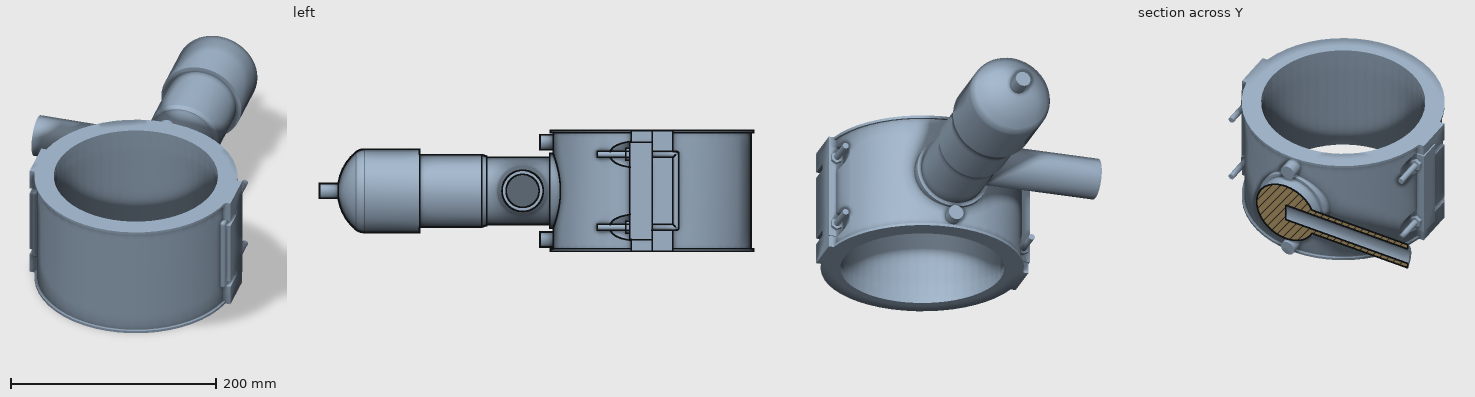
import cadquery as cq
import math


total_length = 423.0
height = 118.0
bore_radius = 80.0
shell_radius = 96.5
lip_radius = 99.0
lip_thickness = 2.5

lug_half_width = 102.0
lug_reach = 20.5
lug_inner_x = 84.5
strip_height = 95.0
strip_thickness = 1.3
side_plate_thickness = 1.3

rod_diameter = 6.0
rod_radius = rod_diameter / 2
rod_x = 95.0
rod_z = 35.5
rod_end_y = 53.3
crossbar_y = -lug_reach - rod_radius
nut_width = 10.0
nut_height = 4.0
spotface_diameter = 29.5

stud_diameter = 15.0
stud_z = 47.5
stud_start_y = 84.5
stud_end_y = 109.0

collar_diameter = 73.0
collar_end_y = 100.0
neck_diameter = 66.0
neck_end_y = 160.5
barrel_diameter = 70.5
barrel_taper_length = 5.0
barrel_taper_depth = 1.5
head_diameter = 81.0
head_start_y = 226.2
knuckle_start_y = 280.5
knuckle_radius = 12.5
dish_radius = 49.0
tip_diameter = 15.0
tip_end_y = total_length - lip_radius

pipe_outer_diameter = 40.0
pipe_bore_diameter = 32.0
pipe_y = 126.0
pipe_end_x = -137.0

SIDES = (-1, 1)
strip_top_y = lug_reach + strip_thickness


def box(x0, x1, y0, y1, z0, z1):
    """Box between two opposite corners."""
    size_x, size_y, size_z = x1 - x0, y1 - y0, z1 - z0
    return cq.Workplane("XY").box(size_x, size_y, size_z, centered=False).translate((x0, y0, z0))


def centred_box(x_pair, y0, y1, z_size):
    """Box symmetric about Z = 0, with its two X limits given in either order."""
    return box(min(x_pair), max(x_pair), y0, y1, -z_size / 2, z_size / 2)


def y_cylinder(diameter, x, z, y0, y1):
    """Cylinder along +Y from y0 to y1."""
    solid = cq.Solid.makeCylinder(diameter / 2, y1 - y0, cq.Vector(x, y0, z), cq.Vector(0, 1, 0))
    return cq.Workplane(obj=solid)


def z_cylinder(radius, length, x=0.0, y=0.0, z=0.0):
    """Cylinder along Z, centred on the given point."""
    return cq.Workplane("XY").circle(radius).extrude(length).translate((x, y, z - length / 2))


def hex_nut(x, z, y0):
    """Hexagonal nut on a rod, standing on y0, with two flats square to X."""
    across_corners = nut_width / math.cos(math.pi / 6)
    nut = cq.Workplane("XZ").polygon(6, across_corners).extrude(-nut_height)
    quarter_turn = 90
    return nut.rotate((0, 0, 0), (0, 1, 0), quarter_turn).translate((x, y0, z))


def bore():
    """Cylinder that clears the clamp bore."""
    return z_cylinder(bore_radius, height)


def half_ring(direction):
    """Half of the lipped ring with its two lugs, on the +Y or -Y side of the joint."""
    ring = z_cylinder(shell_radius, height)
    lip_z = (height - lip_thickness) / 2
    for side in SIDES:
        ring = ring.union(z_cylinder(lip_radius, lip_thickness, z=side * lip_z))
        lug_ends = (side * lug_inner_x, side * lug_half_width)
        ring = ring.union(centred_box(lug_ends, -lug_reach, lug_reach, height))
    y0, y1 = sorted((0, direction * 2 * lip_radius))
    half_space = box(-2 * lip_radius, 2 * lip_radius, y0, y1, -height, height)
    return ring.intersect(half_space).cut(bore())


def rod_positions():
    """X and Z of the four U-bolt rods."""
    return [(side * rod_x, level * rod_z) for side in SIDES for level in SIDES]


def valve_profile_solid():
    """Collar, neck, barrel, dished head and tip turned about the Y axis."""
    head_radius = head_diameter / 2
    barrel_radius = barrel_diameter / 2
    knuckle_centre_r = head_radius - knuckle_radius
    centre_gap = dish_radius - knuckle_radius
    dish_centre_y = knuckle_start_y - math.sqrt(centre_gap**2 - knuckle_centre_r**2)
    tangent_angle = math.acos(knuckle_centre_r / centre_gap)

    def knuckle_point(angle):
        return (
            knuckle_centre_r + knuckle_radius * math.cos(angle),
            knuckle_start_y + knuckle_radius * math.sin(angle),
        )

    def dish_point(angle):
        return (dish_radius * math.cos(angle), dish_centre_y + dish_radius * math.sin(angle))

    apex_angle = math.pi / 2
    body = (
        cq.Workplane("XY")
        .moveTo(0, 0)
        .lineTo(collar_diameter / 2, 0)
        .lineTo(collar_diameter / 2, collar_end_y)
        .lineTo(neck_diameter / 2, collar_end_y)
        .lineTo(neck_diameter / 2, neck_end_y)
        .lineTo(barrel_radius - barrel_taper_depth, neck_end_y)
        .lineTo(barrel_radius, neck_end_y + barrel_taper_length)
        .lineTo(barrel_radius, head_start_y)
        .lineTo(head_radius, head_start_y)
        .lineTo(head_radius, knuckle_start_y)
        .threePointArc(knuckle_point(tangent_angle / 2), knuckle_point(tangent_angle))
        .threePointArc(dish_point((tangent_angle + apex_angle) / 2), dish_point(apex_angle))
        .close()
        .revolve(360, (0, 0, 0), (0, 1, 0))
    )
    return body.union(y_cylinder(tip_diameter, 0, 0, knuckle_start_y, tip_end_y))


def side_pipe(diameter):
    """Cylinder along X from the open pipe end to the valve axis."""
    return cq.Workplane("YZ").center(pipe_y, 0).circle(diameter / 2).extrude(pipe_end_x)


def make_valve():
    valve = valve_profile_solid().union(side_pipe(pipe_outer_diameter))
    return valve.cut(side_pipe(pipe_bore_diameter)).cut(bore())


def make_upper_half():
    half = half_ring(1)
    for x, z in rod_positions():
        spotface_x = math.copysign(lug_half_width, x)
        half = half.cut(y_cylinder(spotface_diameter, spotface_x, z, lug_reach, rod_end_y))
    for side in SIDES:
        strip_ends = (side * rod_x, side * lug_half_width)
        half = half.union(centred_box(strip_ends, lug_reach, strip_top_y, strip_height))
        half = half.union(y_cylinder(stud_diameter, 0, side * stud_z, stud_start_y, stud_end_y))
    plate_outer_x = -lug_half_width - side_plate_thickness
    half = half.union(centred_box((plate_outer_x, -lug_half_width), 0, strip_top_y, strip_height))
    half = half.union(make_valve())
    for x, z in rod_positions():
        half = half.cut(y_cylinder(rod_diameter, x, z, 0, strip_top_y))
    return half


def make_u_bolt(side):
    """Two rods with ball ends, joined by a crossbar, each with a nut above the joint."""
    x = side * rod_x
    bolt = z_cylinder(rod_radius, 2 * rod_z, x=x, y=crossbar_y)
    for level in SIDES:
        z = level * rod_z
        bolt = bolt.union(y_cylinder(rod_diameter, x, z, crossbar_y, rod_end_y))
        bolt = bolt.union(cq.Workplane("XY").sphere(rod_radius).translate((x, crossbar_y, z)))
        bolt = bolt.union(hex_nut(x, z, strip_top_y))
    return bolt


def make_lower_half():
    half = half_ring(-1)
    for x, z in rod_positions():
        x0, x1 = sorted((x, math.copysign(lug_half_width, x)))
        half = half.cut(box(x0, x1, -lug_reach, 0, z - rod_radius, z + rod_radius))
    for side in SIDES:
        half = half.union(make_u_bolt(side))
    return half


upper_half = make_upper_half()
lower_half = make_lower_half()

result = cq.Compound.makeCompound([upper_half.val(), lower_half.val()])